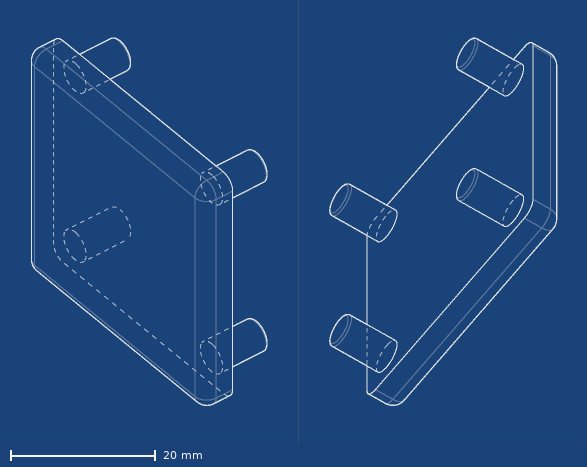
import cadquery as cq

side = 40.0
plate_thickness = 5.0
edge_radius = 2.1

peg_diameter = 5.0
peg_length = 8.0
peg_spacing = 30.5
peg_tip_radius = 0.3


def make_plate():
    """Square plate with rounded corners and a rounded front rim."""
    plate = cq.Workplane("XY").box(side, plate_thickness, side, centered=(True, False, True))
    plate = plate.edges("|Y").fillet(edge_radius)
    return plate.faces("<Y").edges().fillet(edge_radius)


def make_peg(x, z):
    """Peg standing on the back face, with a rounded tip edge."""
    peg = (
        cq.Workplane("XZ", origin=(x, plate_thickness, z))
        .circle(peg_diameter / 2)
        .extrude(-peg_length)
    )
    return peg.faces(">Y").fillet(peg_tip_radius)


result = make_plate()
for x_sign in (-1, 1):
    for z_sign in (-1, 1):
        result = result.union(make_peg(x_sign * peg_spacing / 2, z_sign * peg_spacing / 2))